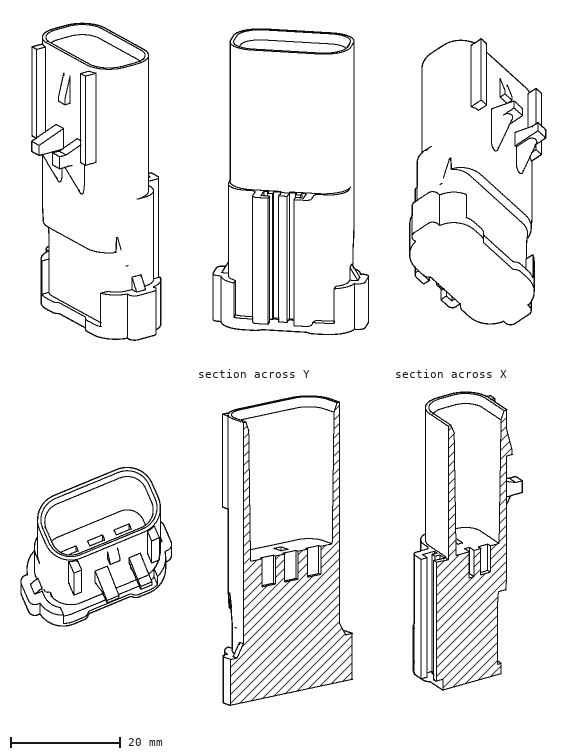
import cadquery as cq
import math


TOTAL_HEIGHT = 53.0
HALF_WIDTH = 11.15

SHELL_HALF_DEPTH = 6.35
SHELL_RADIUS = 4.95
SHELL_BOTTOM = 19.7
SHELL_LIP_BOTTOM = 16.7
SHELL_LIP_BACK = -2.95
SHELL_LIP_DRAFT = 3.0

RIM_WALL = 0.65
LEAD_IN_WIDTH = 0.7
LEAD_IN_DEPTH = 1.7
CAVITY_FLOOR = 26.5
FLOOR_INSET = 0.4

SLOT_DEPTH = 5.3
SLOT_COUNT = 3
SLOT_PITCH = 5.25
SLOT_WIDTH = 2.95
SLOT_THICKNESS = 1.0
SLOT_Y = 1.3
PROBE_WIDTH = 1.6
PROBE_LENGTH = 2.0
PROBE_Y = -1.7

BODY_FRONT = -4.35
BODY_BACK = 6.85
BODY_RADIUS = 3.7
BODY_TOP = 26.3
BODY_FLARE_START = 13.7
BODY_FLARE_DRAFT = 4.0

COLLAR_HALF_WIDTH = 12.45
COLLAR_FRONT = -5.8
COLLAR_BACK = 8.2
COLLAR_RADIUS = 5.05
COLLAR_TOP = 8.75
COLLAR_RING_TOP = 2.15
COLLAR_GAP_HALF_WIDTH = 9.3
EAR_HALF_WIDTH = 14.1
EAR_Y = 1.25
EAR_LENGTH = 5.85
EAR_RADIUS = 1.25
RECESS_HALF_WIDTH = 3.9
RECESS_DEPTH = 0.7
RECESS_BEND = 1.55
RECESS_CONVEX = 1.05

GUSSET_WIDTH = 2.0
GUSSET_HEIGHT = 2.45
GUSSET_REACH = 1.5

CHANNEL_OUTER = 5.45
CHANNEL_INNER = 3.9
CHANNEL_LIP = 2.4
CHANNEL_BACK = 10.7
CHANNEL_LIP_THICKNESS = 1.3
CHANNEL_RADIUS = 1.0
CHANNEL_ROOT_RADIUS = 0.8
GUIDE_X = 2.6
GUIDE_WIDTH = 1.0
GUIDE_BACK = 7.85
LATCH_WIDTH = 1.6
LATCH_BACK = 9.0
LATCH_DIP = 0.2

RAIL_X = 7.7
RAIL_WIDTH = 1.55
RAIL_BOTTOM = 34.4
RAIL_TOP = 52.0
RAIL_FRONT = -8.2
RAIL_EMBED = 0.6
TAB_WIDTH = 1.95
TAB_BOTTOM = 43.6
TAB_FACE_TOP = 44.6
TAB_TOP = 48.95
TAB_FRONT = -7.5

HOOK_FRONT = -11.8
HOOK_FACE_TOP = 35.95
LEFT_HOOK_OUTER = -3.45
LEFT_HOOK_INNER = -1.05
LEFT_HOOK_BOTTOM = 33.9
LEFT_HOOK_ROOT_TOP = 37.95
RIGHT_HOOK_INNER = 3.25
RIGHT_HOOK_OUTER = 5.45
RIGHT_HOOK_BOTTOM = 33.55
RIGHT_HOOK_ROOT_TOP = 37.4
RIGHT_HOOK_FLAT_END = -10.4
STRUT_RADIUS = 0.95
STRUT_FOOT = 26.9
STRUT_ANGLE = 60.0

SHELL_FRONT = -SHELL_HALF_DEPTH
EMBED = 0.55


def box(x0, x1, y0, y1, z0, z1):
    return cq.Workplane("XY").box(x1 - x0, y1 - y0, z1 - z0, centered=False).translate((x0, y0, z0))


def rounded_profile(half_width, y0, y1, radius, z):
    """Rounded rectangle in the plane at height z, ready to extrude."""
    shape = cq.Sketch().rect(2 * half_width, y1 - y0).vertices().fillet(radius)
    return cq.Workplane("XY", origin=(0, (y0 + y1) / 2, z)).placeSketch(shape)


def side_prism(points, x0, x1):
    """Extrude a (Y, Z) outline from x0 to x1."""
    return cq.Workplane("YZ", origin=(x0, 0, 0)).polyline(points).close().extrude(x1 - x0)


def mirrored(half):
    return half.union(half.mirror("YZ"))


def shell_profile(inset, z):
    depth = SHELL_HALF_DEPTH - inset
    return rounded_profile(HALF_WIDTH - inset, -depth, depth, SHELL_RADIUS - inset, z)


def make_shell():
    straight = shell_profile(0, SHELL_BOTTOM).extrude(TOTAL_HEIGHT - SHELL_BOTTOM)
    lip = shell_profile(0, SHELL_BOTTOM).extrude(SHELL_LIP_BOTTOM - SHELL_BOTTOM, taper=SHELL_LIP_DRAFT)
    front = box(-HALF_WIDTH, HALF_WIDTH, SHELL_FRONT, SHELL_LIP_BACK, SHELL_LIP_BOTTOM, SHELL_BOTTOM)
    return straight.union(lip.intersect(front))


def make_body():
    straight = rounded_profile(HALF_WIDTH, BODY_FRONT, BODY_BACK, BODY_RADIUS, 0).extrude(BODY_TOP)
    flare = rounded_profile(HALF_WIDTH, BODY_FRONT, BODY_BACK, BODY_RADIUS, BODY_FLARE_START)
    flare = flare.extrude(SHELL_BOTTOM - BODY_FLARE_START, taper=-BODY_FLARE_DRAFT)
    limit = shell_profile(0, BODY_FLARE_START).extrude(SHELL_BOTTOM - BODY_FLARE_START)
    return straight.union(flare.intersect(limit))


def make_cavity():
    lead_in_bottom = TOTAL_HEIGHT - LEAD_IN_DEPTH
    lead_in_angle = math.degrees(math.atan(LEAD_IN_WIDTH / LEAD_IN_DEPTH))
    lead_in = shell_profile(RIM_WALL, TOTAL_HEIGHT).extrude(-LEAD_IN_DEPTH, taper=lead_in_angle)
    depth = lead_in_bottom - CAVITY_FLOOR
    wall_angle = math.degrees(math.atan(FLOOR_INSET / depth))
    well = shell_profile(RIM_WALL + LEAD_IN_WIDTH, lead_in_bottom).extrude(-depth, taper=wall_angle)
    slots = (
        cq.Workplane("XY", origin=(0, SLOT_Y, CAVITY_FLOOR))
        .rarray(SLOT_PITCH, 0.55, SLOT_COUNT, 1)
        .rect(SLOT_WIDTH, SLOT_THICKNESS)
        .extrude(-SLOT_DEPTH)
    )
    probe = (
        cq.Workplane("XY", origin=(0, PROBE_Y, CAVITY_FLOOR))
        .rect(PROBE_WIDTH, PROBE_LENGTH)
        .extrude(-SLOT_DEPTH)
    )
    return lead_in.union(well).union(slots).union(probe)


def make_recess(edge_y, inward):
    """Shallow recess in the collar ring with S-shaped ends; inward is +1 or -1 along Y."""
    outer_x = RECESS_HALF_WIDTH + RECESS_BEND
    bend_x = outer_x - RECESS_CONVEX
    bend_y = edge_y + inward * RECESS_DEPTH * RECESS_CONVEX / RECESS_BEND
    floor_y = edge_y + inward * RECESS_DEPTH
    half = (
        cq.Workplane("XY")
        .moveTo(0, floor_y)
        .lineTo(RECESS_HALF_WIDTH, floor_y)
        .tangentArcPoint((bend_x, bend_y), relative=False)
        .tangentArcPoint((outer_x, edge_y), relative=False)
        .lineTo(0, edge_y)
        .close()
        .extrude(COLLAR_RING_TOP)
    )
    return mirrored(half)


def make_collar():
    collar = rounded_profile(COLLAR_HALF_WIDTH, COLLAR_FRONT, COLLAR_BACK, COLLAR_RADIUS, 0)
    collar = collar.extrude(COLLAR_TOP)
    gap = box(
        -COLLAR_GAP_HALF_WIDTH, COLLAR_GAP_HALF_WIDTH,
        COLLAR_FRONT, COLLAR_BACK,
        COLLAR_RING_TOP, COLLAR_TOP,
    )
    ears = rounded_profile(
        EAR_HALF_WIDTH, EAR_Y - EAR_LENGTH / 2, EAR_Y + EAR_LENGTH / 2, EAR_RADIUS, 0
    ).extrude(COLLAR_TOP)
    collar = collar.cut(gap).union(ears)
    return collar.cut(make_recess(COLLAR_FRONT, 1)).cut(make_recess(COLLAR_BACK, -1))


def make_gussets():
    gusset = (
        cq.Workplane("XZ", origin=(0, EAR_Y, 0))
        .moveTo(HALF_WIDTH - EMBED, COLLAR_TOP)
        .lineTo(HALF_WIDTH + GUSSET_REACH, COLLAR_TOP)
        .lineTo(HALF_WIDTH, COLLAR_TOP + GUSSET_HEIGHT)
        .lineTo(HALF_WIDTH - EMBED, COLLAR_TOP + GUSSET_HEIGHT)
        .close()
        .extrude(GUSSET_WIDTH / 2, both=True)
    )
    return mirrored(gusset)


def make_clip_channel():
    height = BODY_TOP - COLLAR_RING_TOP
    root_x = CHANNEL_OUTER + CHANNEL_ROOT_RADIUS
    rail = (
        cq.Workplane("XY", origin=(0, 0, COLLAR_RING_TOP))
        .moveTo(CHANNEL_INNER, BODY_BACK - EMBED)
        .lineTo(CHANNEL_INNER, CHANNEL_BACK - CHANNEL_LIP_THICKNESS)
        .lineTo(CHANNEL_LIP, CHANNEL_BACK - CHANNEL_LIP_THICKNESS)
        .lineTo(CHANNEL_LIP, CHANNEL_BACK)
        .lineTo(CHANNEL_OUTER - CHANNEL_RADIUS, CHANNEL_BACK)
        .tangentArcPoint((CHANNEL_OUTER, CHANNEL_BACK - CHANNEL_RADIUS), relative=False)
        .lineTo(CHANNEL_OUTER, BODY_BACK + CHANNEL_ROOT_RADIUS)
        .tangentArcPoint((root_x, BODY_BACK), relative=False)
        .lineTo(root_x, BODY_BACK - EMBED)
        .close()
        .extrude(height)
    )
    guide = box(
        GUIDE_X - GUIDE_WIDTH / 2, GUIDE_X + GUIDE_WIDTH / 2,
        BODY_BACK - EMBED, GUIDE_BACK,
        COLLAR_RING_TOP, BODY_TOP,
    )
    return mirrored(rail.union(guide))


def add_latch(part):
    """Central rib in the channel; its top dips toward the shell wall."""
    half = LATCH_WIDTH / 2
    rib = box(-half, half, BODY_BACK - EMBED, LATCH_BACK, COLLAR_RING_TOP, BODY_TOP)
    slope = [
        (SHELL_HALF_DEPTH, BODY_TOP),
        (LATCH_BACK, BODY_TOP),
        (SHELL_HALF_DEPTH, BODY_TOP - LATCH_DIP),
    ]
    return part.union(rib).cut(side_prism(slope, -half, half))


def make_rails():
    rail = box(
        RAIL_X - RAIL_WIDTH / 2, RAIL_X + RAIL_WIDTH / 2,
        RAIL_FRONT, SHELL_FRONT + RAIL_EMBED,
        RAIL_BOTTOM, RAIL_TOP,
    )
    return mirrored(rail)


def make_tab():
    outline = [
        (SHELL_FRONT + EMBED, TAB_BOTTOM),
        (TAB_FRONT, TAB_BOTTOM),
        (TAB_FRONT, TAB_FACE_TOP),
        (SHELL_FRONT, TAB_TOP),
        (SHELL_FRONT + EMBED, TAB_TOP),
    ]
    return side_prism(outline, -TAB_WIDTH / 2, TAB_WIDTH / 2)


def make_hook(x0, x1, strut_x, bottom, top):
    """Hook carried by a round-bottomed strut; top holds its upper (Y, Z) corners, tip to shell."""
    root_top = top[-1][1]
    head = side_prism(
        [
            (SHELL_FRONT + EMBED, bottom),
            (HOOK_FRONT, bottom),
            *top,
            (SHELL_FRONT + EMBED, root_top),
        ],
        x0, x1,
    )
    angle = math.radians(STRUT_ANGLE)
    axis_foot = STRUT_FOOT + STRUT_RADIUS / math.cos(angle)
    axis_end_y = SHELL_FRONT - (bottom - axis_foot) / math.tan(angle)
    web = side_prism(
        [(SHELL_FRONT, axis_foot), (axis_end_y, bottom), (SHELL_FRONT, bottom)],
        strut_x - STRUT_RADIUS, strut_x + STRUT_RADIUS,
    )
    length = 2 * (bottom - axis_foot) / math.sin(angle)
    direction = cq.Vector(0, -math.cos(angle), math.sin(angle))
    middle = cq.Vector(strut_x, (SHELL_FRONT + axis_end_y) / 2, (axis_foot + bottom) / 2)
    start = middle - direction * (length / 2)
    rod = cq.Workplane(cq.Solid.makeCylinder(STRUT_RADIUS, length, start, direction))
    room = box(x0 - EMBED, x1 + EMBED, HOOK_FRONT, SHELL_FRONT + EMBED, STRUT_FOOT - EMBED, bottom)
    return head.union(web).union(rod.intersect(room))


def make_hooks():
    tip = (HOOK_FRONT, HOOK_FACE_TOP)
    left_top = [tip, (SHELL_FRONT, LEFT_HOOK_ROOT_TOP)]
    right_top = [tip, (RIGHT_HOOK_FLAT_END, HOOK_FACE_TOP), (SHELL_FRONT, RIGHT_HOOK_ROOT_TOP)]
    left_strut_x = LEFT_HOOK_OUTER + STRUT_RADIUS
    right_strut_x = RIGHT_HOOK_OUTER - STRUT_RADIUS
    left = make_hook(LEFT_HOOK_OUTER, LEFT_HOOK_INNER, left_strut_x, LEFT_HOOK_BOTTOM, left_top)
    right = make_hook(RIGHT_HOOK_INNER, RIGHT_HOOK_OUTER, right_strut_x, RIGHT_HOOK_BOTTOM, right_top)
    return left.union(right)


result = make_shell().union(make_body()).union(make_collar())
result = result.union(make_gussets()).union(make_clip_channel())
result = add_latch(result)
result = result.union(make_rails()).union(make_tab()).union(make_hooks())
result = result.cut(make_cavity())